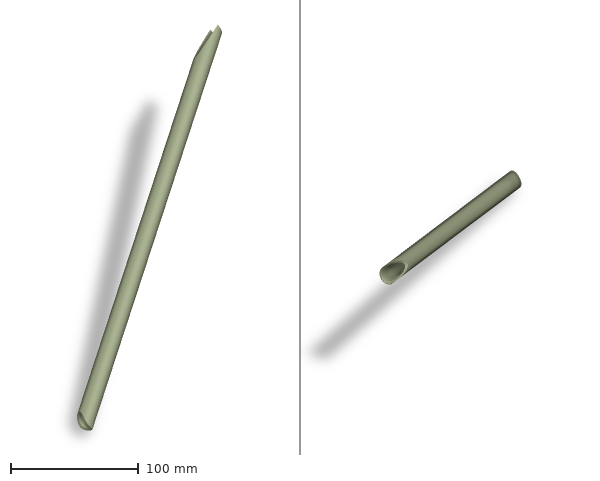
import cadquery as cq

outer_diameter = 15.0
wall = 1.5
run_x = 135.0
run_y = 320.0
drop_z = 81.0
overrun = 38.5

outer_radius = outer_diameter / 2

upper_cope_length = 192.0

lower_cope_radius = 10.2
lower_cope_length = 128.0
lower_cope_bite_y = 316.0
lower_cope_shift_z = -0.48
lower_cope_direction = cq.Vector(1, -0.12, -0.7)

axis = cq.Vector(run_x, -run_y, -drop_z)
direction = axis.normalized()


def make_tube():
    start = direction * -overrun
    length = axis.Length + 2 * overrun
    plane = cq.Plane(origin=start.toTuple(), xDir=(0, 0, 1), normal=direction.toTuple())
    bore_radius = outer_radius - wall
    return cq.Workplane(plane).circle(outer_radius).circle(bore_radius).extrude(length)


def make_bar(centre, along, radius, length):
    along = along.normalized()
    start = centre - along * (length / 2)
    return cq.Workplane(obj=cq.Solid.makeCylinder(radius, length, start, along))


def trim_upper_end(tube):
    size = 4 * run_y
    half_space = cq.Workplane("XY").box(size, size, size).translate((0, -size / 2, 0))
    return tube.intersect(half_space)


def cut_cope(tube, bar):
    pieces = tube.cut(bar).solids().vals()
    return cq.Workplane(obj=max(pieces, key=lambda piece: piece.Volume()))


upper_bar = make_bar(cq.Vector(0, 0, 0), cq.Vector(0, 1, 0), outer_radius, upper_cope_length)

lower_bar_centre = axis * (lower_cope_bite_y / run_y) + cq.Vector(0, -lower_cope_radius, lower_cope_shift_z)
lower_bar = make_bar(lower_bar_centre, lower_cope_direction, lower_cope_radius, lower_cope_length)

tube = trim_upper_end(make_tube())
tube = cut_cope(tube, upper_bar)
result = cut_cope(tube, lower_bar)